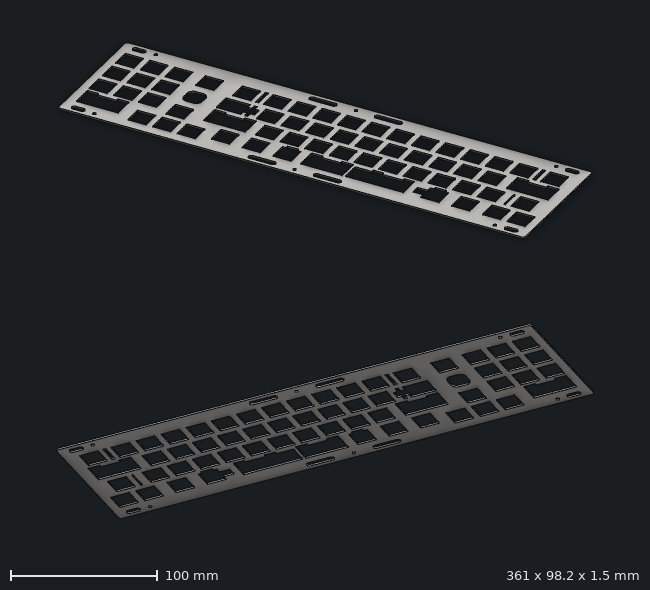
import cadquery as cq

plate_length = 361.0
plate_width = 98.2
plate_thickness = 1.5
corner_radius = 2.0

web_between_keys = 5.0
first_column_inset = 13.7
columns_spanned = 17.5
first_column_x = -plate_length / 2 + first_column_inset
key_pitch = (plate_length - 2 * first_column_inset) / columns_spanned
switch_size = key_pitch - web_between_keys
row_count = 4
row_y = [((row_count - 1) / 2 - row) * key_pitch for row in range(row_count)]
bottom_row = row_count - 1
arrow_row_y = row_y[bottom_row] - key_pitch / 4

number_pad_columns = [0, 1, 2]
single_key_columns = [
    number_pad_columns + [3.25, 4.75] + list(range(6, 17)) + [17.25],
    number_pad_columns + [6.25 + step for step in range(10)],
    number_pad_columns + [6.75 + step for step in range(10)] + [17.125],
    [5.5, 6.75, 8, 14, 15.25, 16.5, 17.5],
]
navigation_column = 3.25
arrow_columns = [navigation_column + step for step in (-1, 0, 1)]

navigation_key_y = row_y[2] - key_pitch / 4
knob_y = (row_y[0] + navigation_key_y) / 2
knob_corner_radius = 4.5

wide_opening_length = 32.0
tab_length = 8.5
tab_rise = 2.0
wide_keys = [(0.5, bottom_row), (5.125, 2), (9.6, bottom_row), (16.875, 1)]

space_column = 11.75
space_length = 44.8
space_tab_length = 8.0
space_tab_offsets = [-5.5, 18.5]

bump_length = 8.3
bump_columns = [8, 14]

side_pocket_reach = 8.0
side_pocket_height = 6.5

stepped_row = 1
stepped_column = 4.75
stepped_length = 18.8
stepped_arm_reach = 8.5
stepped_arm_height = 6.5
stepped_slit_offset = 4.5

slit_width = 2.0
thin_slit_width = 1.0
slits = [(5.375, 0, slit_width), (16.625, 0, slit_width), (16.5, 2, thin_slit_width)]

screw_y = 44.0
slot_y = 43.7
screw_diameter = 2.25
screw_x = 155.0
end_slot_x = 167.5
end_slot_length = 10.0
middle_slot_x = 25.3
middle_slot_length = 21.0
slot_width = 4.0


def column_x(column):
    return first_column_x + column * key_pitch


def block(x, y, length, width):
    """Cutter through the plate, centred at (x, y)."""
    return cq.Workplane("XY").center(x, y).rect(length, width).extrude(plate_thickness)


def raised_tab(x, row, length):
    """Cutter that lifts part of an opening's upper edge by the tab rise."""
    return block(x, row_y[row] + tab_rise / 2, length, switch_size + tab_rise)


def single_key_cutters():
    cutters = []
    for row, columns in enumerate(single_key_columns):
        for column in columns:
            cutters.append(block(column_x(column), row_y[row], switch_size, switch_size))
    for column in arrow_columns:
        cutters.append(block(column_x(column), arrow_row_y, switch_size, switch_size))
    cutters.append(block(column_x(navigation_column), navigation_key_y, switch_size, switch_size))
    return cutters


def knob_cutter():
    knob = block(column_x(navigation_column), knob_y, switch_size, switch_size)
    return knob.edges("|Z").fillet(knob_corner_radius)


def wide_key_cutters():
    cutters = []
    tab_offset = (wide_opening_length - tab_length) / 2
    for column, row in wide_keys:
        x = column_x(column)
        cutters.append(block(x, row_y[row], wide_opening_length, switch_size))
        for side in (-1, 1):
            cutters.append(raised_tab(x + side * tab_offset, row, tab_length))
    return cutters


def space_bar_cutters():
    x = column_x(space_column)
    cutters = [block(x, row_y[bottom_row], space_length, switch_size)]
    for offset in space_tab_offsets:
        cutters.append(raised_tab(x + offset, bottom_row, space_tab_length))
    return cutters


def modifier_key_cutters():
    cutters = [raised_tab(column_x(column), bottom_row, bump_length) for column in bump_columns]
    pocket_x = column_x(bump_columns[-1]) - (switch_size + side_pocket_reach) / 2
    cutters.append(block(pocket_x, row_y[bottom_row], side_pocket_reach, side_pocket_height))
    return cutters


def stepped_key_cutters():
    x = column_x(stepped_column)
    y = row_y[stepped_row]
    right_edge = x + stepped_length / 2
    return [
        block(x, y, stepped_length, switch_size),
        block(right_edge + stepped_arm_reach / 2, y, stepped_arm_reach, stepped_arm_height),
        block(right_edge + stepped_slit_offset, y, slit_width, switch_size),
    ]


def slit_cutters():
    return [block(column_x(column), row_y[row], width, switch_size) for column, row, width in slits]


def fastening_cutters():
    cutters = []
    for edge in (-1, 1):
        for x in (-screw_x, 0, screw_x):
            hole = cq.Workplane("XY").center(x, edge * screw_y).circle(screw_diameter / 2)
            cutters.append(hole.extrude(plate_thickness))
        for side in (-1, 1):
            for x, length in ((end_slot_x, end_slot_length), (middle_slot_x, middle_slot_length)):
                slot = cq.Workplane("XY").center(side * x, edge * slot_y).slot2D(length, slot_width)
                cutters.append(slot.extrude(plate_thickness))
    return cutters


plate = cq.Workplane("XY").rect(plate_length, plate_width).extrude(plate_thickness)
plate = plate.edges("|Z").fillet(corner_radius)

cutters = (
    single_key_cutters()
    + [knob_cutter()]
    + wide_key_cutters()
    + space_bar_cutters()
    + modifier_key_cutters()
    + stepped_key_cutters()
    + slit_cutters()
    + fastening_cutters()
)
solid = plate.val().cut(*[cutter.val() for cutter in cutters])
result = cq.Workplane("XY").newObject(solid.Solids())